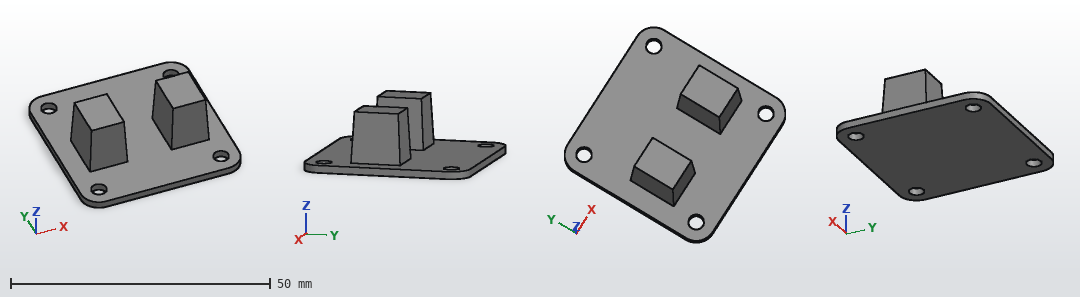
import cadquery as cq
import math

plate_side = 33.0
total_height = 11.5
plate_thickness = 1.5
corner_radius = 3.75

hole_diameter = 3.0
hole_spacing = plate_side - 2 * corner_radius

post_width = 7.82
post_depth = 9.85
post_spacing = 17.0
post_offset_y = -2.5
post_draft_angle = 3.0
post_height = total_height - plate_thickness
post_inset = post_height * math.tan(math.radians(post_draft_angle))


def make_plate():
    """Rounded square plate, bottom face on Z = 0, with a hole at each corner."""
    return (
        cq.Workplane("XY")
        .rect(plate_side, plate_side)
        .extrude(plate_thickness)
        .edges("|Z")
        .fillet(corner_radius)
        .faces(">Z")
        .workplane()
        .rect(hole_spacing, hole_spacing, forConstruction=True)
        .vertices()
        .hole(hole_diameter)
    )


def make_post(center_x):
    """Rectangular post that narrows evenly on all four sides towards its top."""
    return (
        cq.Workplane("XY", origin=(center_x, post_offset_y, plate_thickness))
        .rect(post_width, post_depth)
        .workplane(offset=post_height)
        .rect(post_width - 2 * post_inset, post_depth - 2 * post_inset)
        .loft(ruled=True)
    )


result = make_plate()
for side in (-1, 1):
    result = result.union(make_post(side * post_spacing / 2))